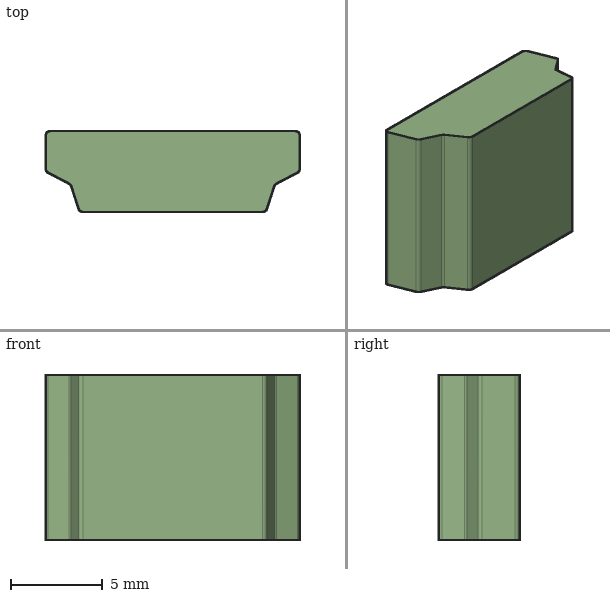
import cadquery as cq
import math

width = 13.84
depth = 4.41
height = 9.0

side_depth = 2.21
shoulder_depth = 2.92
shoulder_half_width = 5.56
nose_draft = 18.0
edge_radius = 0.25

half_width = width / 2
back_y = depth / 2
front_y = -depth / 2
side_end_y = back_y - side_depth
shoulder_y = back_y - shoulder_depth
nose_taper = (depth - shoulder_depth) * math.tan(math.radians(nose_draft))
nose_half_width = shoulder_half_width - nose_taper

right_corners = [
    (half_width, back_y),
    (half_width, side_end_y),
    (shoulder_half_width, shoulder_y),
    (nose_half_width, front_y),
]
left_corners = [(-x, y) for x, y in reversed(right_corners)]

result = (
    cq.Workplane("XY")
    .polyline(right_corners + left_corners)
    .close()
    .extrude(height)
    .edges("|Z")
    .fillet(edge_radius)
)